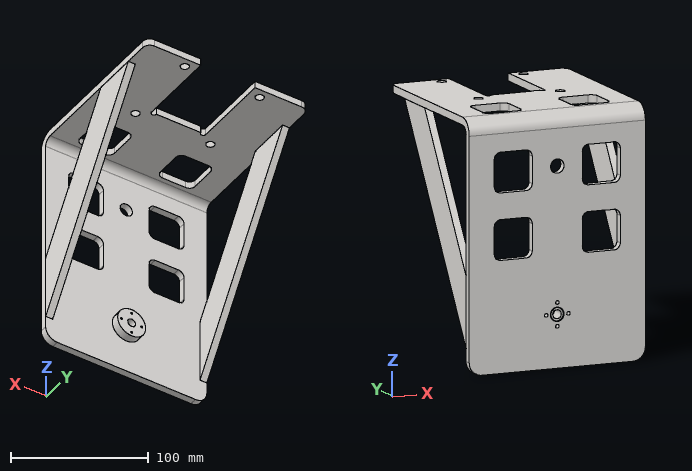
import cadquery as cq
import math

HEIGHT = 190
WIDTH = 140.0
DEPTH = 140.0
SHEET = 6.0
BEND_OUTER_RADIUS = 12.0
BEND_INNER_RADIUS = BEND_OUTER_RADIUS - SHEET
SHELF_CORNER_RADIUS = 6.0
UPRIGHT_CORNER_RADIUS = 10.0

WINDOW_SIZE = 30.0
WINDOW_RADIUS = 5.0
WINDOW_SPACING_X = 70.0
UPRIGHT_WINDOWS_Z = (149.0, 99.0)
SHELF_WINDOWS_Y = 31.0

SLOT_WIDTH = 47.0
SLOT_DEPTH = 65.0
RELIEF_RADIUS = 2.0
SLOT_FLOOR_Y = DEPTH - SLOT_DEPTH
MOUNT_HOLE_DIAMETER = 6.6
MOUNT_HOLE_SPACING = 65.0
MOUNT_HOLE_BACK_MARGIN = 7.6
MOUNT_CENTER_Y = DEPTH - MOUNT_HOLE_BACK_MARGIN - MOUNT_HOLE_SPACING / 2

SPINDLE_HOLE_DIAMETER = 10.5
UPPER_HOLE_Z = 150.0
NUT_Z = 40.0

NUT_FLANGE_DIAMETER = 24.3
NUT_FLANGE_THICKNESS = 7.0
NUT_BORE_DIAMETER = 6.6
NUT_BOSS_RECESS = 0.5
NUT_BOSS_CHAMFER = 0.28
NUT_SCREW_HOLE_DIAMETER = 2.7
NUT_THREAD_HOLE_DIAMETER = 1.5
NUT_SCREW_CIRCLE_DIAMETER = 17.7
NUT_SCREW_COUNT = 4

BRACE_THICKNESS = 6.0
BRACE_WIDTH = 30.0
BRACE_REACH_Y = 108.9
BRACE_REACH_Z = 164.2


def upright_holes(diameter, points):
    """Round cutters that pass through the upright and a flange behind it."""
    length = SHEET + NUT_FLANGE_THICKNESS
    return (
        cq.Workplane("XZ")
        .pushPoints(points)
        .circle(diameter / 2)
        .extrude(-length)
    )


def nut_screw_holes(diameter):
    """Evenly spaced round cutters around the nut axis."""
    circle_radius = NUT_SCREW_CIRCLE_DIAMETER / 2
    angles = [2 * math.pi * i / NUT_SCREW_COUNT for i in range(NUT_SCREW_COUNT)]
    points = [(circle_radius * math.cos(a), NUT_Z + circle_radius * math.sin(a)) for a in angles]
    return upright_holes(diameter, points)


def bent_sheet():
    """L-shaped sheet, centred on X, its front face at Y = 0 and its foot at Z = 0."""
    sheet = (
        cq.Workplane("YZ")
        .moveTo(0, 0)
        .lineTo(0, HEIGHT - BEND_OUTER_RADIUS)
        .radiusArc((BEND_OUTER_RADIUS, HEIGHT), BEND_OUTER_RADIUS)
        .lineTo(DEPTH, HEIGHT)
        .lineTo(DEPTH, HEIGHT - SHEET)
        .lineTo(BEND_OUTER_RADIUS, HEIGHT - SHEET)
        .radiusArc((SHEET, HEIGHT - BEND_OUTER_RADIUS), -BEND_INNER_RADIUS)
        .lineTo(SHEET, 0)
        .close()
        .extrude(WIDTH / 2, both=True)
    )
    sheet = sheet.faces(">Y").edges("|Z").fillet(SHELF_CORNER_RADIUS)
    return sheet.faces("<Z").edges("|Y").fillet(UPRIGHT_CORNER_RADIUS)


def window_columns():
    return (-WINDOW_SPACING_X / 2, WINDOW_SPACING_X / 2)


def upright_windows():
    points = [(x, z) for x in window_columns() for z in UPRIGHT_WINDOWS_Z]
    windows = cq.Workplane("XZ").pushPoints(points).rect(WINDOW_SIZE, WINDOW_SIZE).extrude(-SHEET)
    return windows.edges("|Y").fillet(WINDOW_RADIUS)


def shelf_plane():
    return cq.Workplane("XY", origin=(0, 0, HEIGHT - SHEET))


def shelf_windows():
    points = [(x, SHELF_WINDOWS_Y) for x in window_columns()]
    windows = shelf_plane().pushPoints(points).rect(WINDOW_SIZE, WINDOW_SIZE).extrude(SHEET)
    return windows.edges("|Z").fillet(WINDOW_RADIUS)


def motor_slot():
    """Slot open at the back, with a round relief in each corner of its floor."""
    slot = (
        shelf_plane()
        .center(0, SLOT_FLOOR_Y + SLOT_DEPTH / 2)
        .rect(SLOT_WIDTH, SLOT_DEPTH)
        .extrude(SHEET)
    )
    relief_x = SLOT_WIDTH / 2 - RELIEF_RADIUS
    reliefs = (
        shelf_plane()
        .pushPoints([(-relief_x, SLOT_FLOOR_Y), (relief_x, SLOT_FLOOR_Y)])
        .circle(RELIEF_RADIUS)
        .extrude(SHEET)
    )
    return slot.union(reliefs)


def motor_mount_holes():
    return (
        shelf_plane()
        .center(0, MOUNT_CENTER_Y)
        .rarray(MOUNT_HOLE_SPACING, MOUNT_HOLE_SPACING, 2, 2)
        .circle(MOUNT_HOLE_DIAMETER / 2)
        .extrude(SHEET)
    )


def make_bracket():
    return (
        bent_sheet()
        .cut(upright_windows())
        .cut(shelf_windows())
        .cut(motor_slot())
        .cut(motor_mount_holes())
        .cut(upright_holes(SPINDLE_HOLE_DIAMETER, [(0, UPPER_HOLE_Z), (0, NUT_Z)]))
        .cut(nut_screw_holes(NUT_SCREW_HOLE_DIAMETER))
    )


def make_nut():
    flange = (
        cq.Workplane("XZ", origin=(0, SHEET, NUT_Z))
        .circle(NUT_FLANGE_DIAMETER / 2)
        .extrude(-NUT_FLANGE_THICKNESS)
    )
    boss = (
        cq.Workplane("XZ", origin=(0, SHEET, NUT_Z))
        .circle(SPINDLE_HOLE_DIAMETER / 2)
        .extrude(SHEET - NUT_BOSS_RECESS)
        .faces("<Y")
        .chamfer(NUT_BOSS_CHAMFER)
    )
    bore = upright_holes(NUT_BORE_DIAMETER, [(0, NUT_Z)])
    return flange.union(boss).cut(bore).cut(nut_screw_holes(NUT_THREAD_HOLE_DIAMETER))


def make_brace(left_x):
    """Brace with its left face at left_x, cut to fit the inner faces of the upright and the shelf."""
    shelf_underside = HEIGHT - SHEET
    slope = math.atan2(BRACE_REACH_Z, BRACE_REACH_Y)
    inner_reach_y = BRACE_REACH_Y - BRACE_WIDTH / math.sin(slope)
    inner_reach_z = BRACE_REACH_Z - BRACE_WIDTH / math.cos(slope)
    return (
        cq.Workplane("YZ", origin=(left_x, 0, 0))
        .moveTo(SHEET, shelf_underside - BRACE_REACH_Z)
        .lineTo(SHEET + BRACE_REACH_Y, shelf_underside)
        .lineTo(SHEET + inner_reach_y, shelf_underside)
        .lineTo(SHEET, shelf_underside - inner_reach_z)
        .close()
        .extrude(BRACE_THICKNESS)
    )


bracket = make_bracket()
nut = make_nut()
braces = [make_brace(left_x) for left_x in (-WIDTH / 2, WIDTH / 2 - BRACE_THICKNESS)]

result = cq.Compound.makeCompound([bracket.val(), nut.val(), *[brace.val() for brace in braces]])